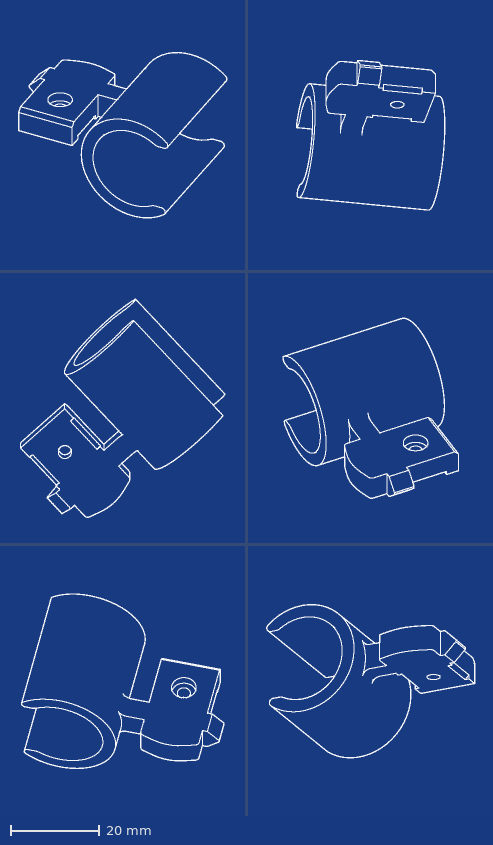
import cadquery as cq
import math

overall_length = 44.65

clip_outer_radius = 13.0
clip_inner_radius = 10.0
clip_length = 30.0
upper_lip_height = 8.0
lower_lip_height = 8.55
lip_radius = 1.0
lip_blend_radius = 2.0

arm_thickness = 6.0
arm_width = 5.0
arm_y = 6.5
arm_z = 0.15
tip_flat_height = 0.5
arm_fillet_radius = 2.0

block_width = 13.58
block_tip_gap = 3.9
block_front_y = -9.15
block_back_y = 14.6
block_chamfer = 1.0
crown_radius = 12.35
crown_angle = math.radians(17)
crown_corner_radius = 1.0

screw_y = -1.65
screw_diameter = 3.0
screw_head_diameter = 5.6
screw_head_depth = 2.2
relief_length = 8.95
relief_size = 1.0

lip_center_radius = clip_outer_radius - lip_radius
clip_right_x = lip_radius + math.sqrt(lip_center_radius**2 - (upper_lip_height + lip_radius)**2)
tip_x = clip_right_x - overall_length
block_left_x = tip_x + block_tip_gap
block_right_x = block_left_x + block_width
block_x = (block_left_x + block_right_x) / 2
arm_bottom_z = arm_z - arm_thickness / 2
arm_top_z = arm_z + arm_thickness / 2


def fillet_edge(body, direction, point, radius):
    """Round the edge running along the given direction whose middle is nearest to the point."""
    nearest = cq.selectors.NearestToPointSelector(point)
    return body.edges(direction).edges(nearest).fillet(radius)


def lip_points(lip_height, side):
    """Inner corner, end of the flat, outermost point and outer tangent point of one lip.

    side is +1 for the upper lip and -1 for the lower lip.
    """
    center_z = lip_height + lip_radius
    center_x = math.sqrt(lip_center_radius**2 - center_z**2)
    tangent_scale = clip_outer_radius / lip_center_radius
    inner_corner = (math.sqrt(clip_inner_radius**2 - lip_height**2), side * lip_height)
    flat_end = (center_x, side * lip_height)
    outermost = (center_x + lip_radius, side * center_z)
    outer_tangent = (center_x * tangent_scale, side * center_z * tangent_scale)
    return inner_corner, flat_end, outermost, outer_tangent


def make_clip():
    upper_corner, upper_flat, upper_end, upper_tangent = lip_points(upper_lip_height, 1)
    lower_corner, lower_flat, lower_end, lower_tangent = lip_points(lower_lip_height, -1)
    clip = (
        cq.Workplane("XZ")
        .moveTo(*upper_corner)
        .lineTo(*upper_flat)
        .threePointArc(upper_end, upper_tangent)
        .threePointArc((-clip_outer_radius, 0), lower_tangent)
        .threePointArc(lower_end, lower_flat)
        .lineTo(*lower_corner)
        .threePointArc((-clip_inner_radius, 0), upper_corner)
        .close()
        .extrude(clip_length / 2, both=True)
    )
    for x, z in (upper_corner, lower_corner):
        clip = fillet_edge(clip, "|Y", (x, 0, z), lip_blend_radius)
    return clip


def make_arm():
    wedge_length = (arm_thickness - tip_flat_height) / 2
    arm_end_x = -(clip_outer_radius + clip_inner_radius) / 2
    return (
        cq.Workplane("XZ", origin=(0, arm_y, arm_z))
        .moveTo(tip_x, -tip_flat_height / 2)
        .lineTo(tip_x + wedge_length, -arm_thickness / 2)
        .lineTo(arm_end_x, -arm_thickness / 2)
        .lineTo(arm_end_x, arm_thickness / 2)
        .lineTo(tip_x + wedge_length, arm_thickness / 2)
        .lineTo(tip_x, tip_flat_height / 2)
        .close()
        .extrude(arm_width / 2, both=True)
    )


def make_block():
    arc_half_width = crown_radius * math.sin(crown_angle)
    arc_end_y = block_back_y - crown_radius * (1 - math.cos(crown_angle))
    corner_y = arc_end_y - (block_width / 2 - arc_half_width) * math.tan(crown_angle)
    block = (
        cq.Workplane("XY", origin=(0, 0, arm_bottom_z))
        .moveTo(block_left_x, block_front_y)
        .lineTo(block_right_x, block_front_y)
        .lineTo(block_right_x, corner_y)
        .lineTo(block_x + arc_half_width, arc_end_y)
        .threePointArc((block_x, block_back_y), (block_x - arc_half_width, arc_end_y))
        .lineTo(block_left_x, corner_y)
        .close()
        .extrude(arm_thickness)
    )
    for x in (block_left_x, block_right_x):
        block = fillet_edge(block, "|Z", (x, corner_y, arm_z), crown_corner_radius)
    return block.faces("<Y").edges(">Z").chamfer(block_chamfer)


def make_relief(edge_x, inward):
    """45 degree wedge taken off a lower side edge; inward is the X sign into the block."""
    return (
        cq.Workplane("XZ", origin=(edge_x, screw_y, arm_bottom_z))
        .polyline([(0, 0), (inward * relief_size, 0), (0, relief_size)])
        .close()
        .extrude(relief_length / 2, both=True)
    )


def fillet_arm_joint(body):
    """Blend the top and bottom of the arm into the outside of the clip."""
    for z in (arm_bottom_z, arm_top_z):
        joint_x = -math.sqrt(clip_outer_radius**2 - z**2)
        body = fillet_edge(body, "|Y", (joint_x, arm_y, z), arm_fillet_radius)
    return body


body = fillet_arm_joint(make_clip().union(make_arm()).union(make_block()))
body = body.cut(make_relief(block_left_x, 1)).cut(make_relief(block_right_x, -1))
result = (
    body.copyWorkplane(cq.Workplane("XY", origin=(block_x, screw_y, arm_top_z)))
    .cboreHole(screw_diameter, screw_head_diameter, screw_head_depth)
)